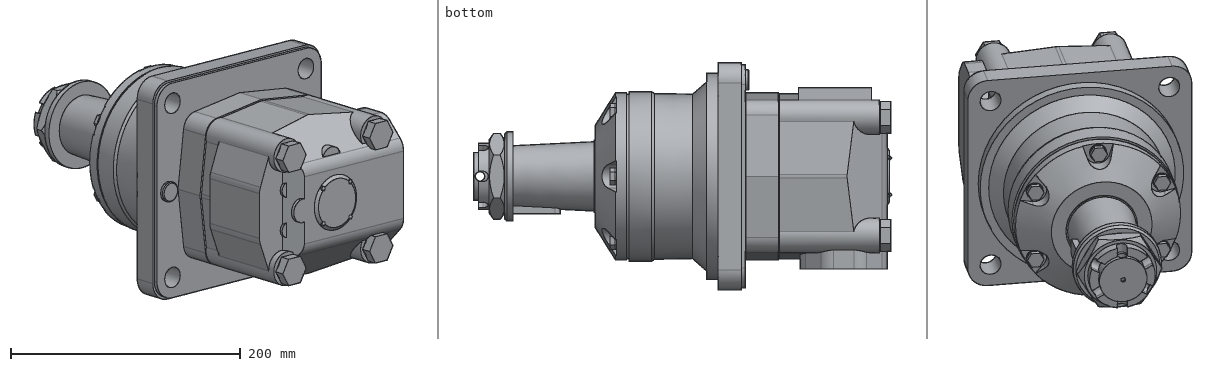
import cadquery as cq
import math


shaft_tip_x = -212.9
castle_tip_x = -208.6
hex_front_x = -199.3
washer_front_x = -185.8
washer_rear_x = -178.4
cover_front_x = -107.0
cover_rim_x = -89.2
cover_rear_x = -79.7
pilot_front_x = -9.9
flange_thickness = 20.2
gear_front_x = 24.3
gear_rear_x = 52.5
boss_end_x = 140.4
rear_face_x = 147.4

thread_radius = 21.0
taper_small_radius = 26.8
taper_large_radius = 30.3
center_hole_diameter = 4.0
center_hole_depth = 5.0
split_pin_diameter = 8.0
split_pin_x = -207.3
key_width = 16.0
key_top = 32.7
key_height = 10.0
key_end_x = -137.3
key_corner_radius = 4.6
washer_radius = 39.0
washer_chamfer = 2.0
nut_across_flats = 65.0
nut_bevel_inset = 0.5
nut_bevel_angle = math.radians(35)
castle_radius = 29.0
castle_slot_width = 9.0
castle_slot_end_x = -200.1
castle_slot_count = 6

cover_nose_radius = 44.5
cover_rim_radius = 73.0
lip_radius = 31.6
lip_front_x = cover_front_x - 0.9
screw_count = 6
screw_circle_radius = 64.7
screw_across_flats = 13.0
screw_head_height = 5.6
screw_collar_diameter = 14.8
screw_collar_height = 1.2
pocket_floor_x = -88.4
pocket_radius = 10.7
pocket_flare = math.radians(18)

housing_groove_radius = 71.8
band_radius = 74.0
band_front_x = -77.5
band_rear_x = -57.8
barrel_front_x = -55.4
barrel_rear_x = -22.2
barrel_front_radius = 72.3
barrel_rear_radius = 71.7
shoulder_radius = 82.5
pilot_radius = 90.0
flange_size = 198.0
flange_corner_radius = 17.5
flange_hole_diameter = 18.4
flange_hole_spacing = 158.0
back_plate_size = 194.6
back_plate_rear_x = 23.7
drain_plug_diameter = 18.0
drain_plug_height = 3.4
drain_plug_chamfer = 1.0
drain_plug_y = -84.0

lobe_center = 51.4
lobe_radius = 15.15
gear_ridge = 73.0
seal_radius = 65.0
cover_ridge = 72.1
cover_ridge_radius = 13.0
seal_thickness = 0.8
cover_block_x = gear_rear_x + seal_thickness
cover_side_half_width = 47.9
bolt_across_flats = 24.0
bolt_head_height = 9.2
bolt_collar_height = 0.9
bolt_collar_diameter = 22.0

port_block_half_width = 38.0
port_block_x = rear_face_x - port_block_half_width
port_block_half_height = 59.5
port_block_corner = 22.6
port_block_radius = 15.4
port_block_face_y = 80.7
bevel_half = port_block_half_height - port_block_corner
bevel_start_x = rear_face_x - (cover_ridge - bevel_half)
pad_front_x = 70.0
pad_rear_x = 133.8
pad_face_y = -77.4
pad_flat_half_height = 23.2
pad_half_height = 52.0
pad_edge_y = -66.5
pad_root_y = -46.0
pad_round = 16.0
plug_boss_radius = 10.7
plug_boss_offset = 38.6
top_plug_boss_end_x = 142.3
side_plug_boss_front_x = 144.3
valve_boss_diameter = 13.84
valve_boss_y = -46.0
valve_boss_z = 18.2
valve_boss_end_x = 136.3
cap_base_radius = 25.0
cap_top_radius = 22.0
cap_height = 2.0
rivet_offset = 16.0
rivet_radius = 2.0
rivet_tip_x = 151.4


def turned(points):
    """Solid of revolution about X from (x, radius) points."""
    return cq.Workplane("XY").polyline(points).close().revolve(360, (0, 0, 0), (1, 0, 0))


def plane_at(x):
    """Sketch plane facing +X whose local axes are Y and Z."""
    return cq.Workplane("YZ", origin=(x, 0, 0))


def rod(x_start, x_end, radius, y=0.0, z=0.0):
    return plane_at(x_start).center(y, z).circle(radius).extrude(x_end - x_start)


def four_corners(offset):
    return [(y, z) for y in (-offset, offset) for z in (-offset, offset)]


def make_shaft():
    shaft = turned([
        (shaft_tip_x, 0),
        (shaft_tip_x, thread_radius),
        (washer_rear_x, thread_radius),
        (washer_rear_x, taper_small_radius),
        (lip_front_x, taper_large_radius),
        (cover_rear_x, taper_large_radius),
        (cover_rear_x, 0),
    ])
    pin_hole = (
        cq.Workplane("XY", origin=(split_pin_x, 0, -thread_radius))
        .circle(split_pin_diameter / 2)
        .extrude(2 * thread_radius)
    )
    center_hole = rod(shaft_tip_x, shaft_tip_x + center_hole_depth, center_hole_diameter / 2)
    return shaft.cut(pin_hole).cut(center_hole).cut(make_key())


def make_key():
    length = key_end_x - washer_rear_x
    return (
        cq.Workplane("XY")
        .box(length, key_height, key_width, centered=(False, False, True))
        .translate((washer_rear_x, key_top - key_height, 0))
        .edges("|Y and >X")
        .fillet(key_corner_radius)
    )


def make_washer():
    return turned([
        (washer_front_x, thread_radius),
        (washer_front_x, washer_radius - washer_chamfer),
        (washer_front_x + washer_chamfer, washer_radius),
        (washer_rear_x, washer_radius),
        (washer_rear_x, thread_radius),
    ])


def make_nut():
    corner_radius = nut_across_flats / math.sqrt(3)
    face_radius = nut_across_flats / 2 - nut_bevel_inset
    bevel = (corner_radius - face_radius) * math.tan(nut_bevel_angle)
    length = washer_front_x - hex_front_x
    nut = plane_at(hex_front_x).polygon(6, 2 * corner_radius).extrude(length)
    nut = nut.intersect(turned([
        (hex_front_x, 0),
        (hex_front_x, face_radius),
        (hex_front_x + bevel, corner_radius),
        (washer_front_x - bevel, corner_radius),
        (washer_front_x, face_radius),
        (washer_front_x, 0),
    ]))
    nut = nut.union(rod(castle_tip_x, hex_front_x, castle_radius))
    nut = nut.cut(rod(castle_tip_x, washer_front_x, thread_radius))
    round_center_x = castle_slot_end_x - castle_slot_width / 2
    slot = (
        cq.Workplane("XY")
        .moveTo(castle_tip_x, -castle_slot_width / 2)
        .lineTo(round_center_x, -castle_slot_width / 2)
        .threePointArc((castle_slot_end_x, 0), (round_center_x, castle_slot_width / 2))
        .lineTo(castle_tip_x, castle_slot_width / 2)
        .close()
        .extrude(2 * castle_radius)
    )
    for i in range(castle_slot_count):
        nut = nut.cut(slot.rotate((0, 0, 0), (1, 0, 0), i * 360 / castle_slot_count))
    return nut


def screw_pocket():
    """Pocket above one screw: a round inner end that flares outwards to the cover rim."""
    reach = cover_rim_radius - screw_circle_radius + pocket_radius
    tangent_y = pocket_radius * math.cos(pocket_flare)
    tangent_z = -pocket_radius * math.sin(pocket_flare)
    mouth_y = tangent_y + (reach - tangent_z) * math.tan(pocket_flare)
    return (
        plane_at(cover_front_x)
        .center(0, screw_circle_radius)
        .moveTo(-mouth_y, reach)
        .lineTo(-tangent_y, tangent_z)
        .threePointArc((0, -pocket_radius), (tangent_y, tangent_z))
        .lineTo(mouth_y, reach)
        .close()
        .extrude(pocket_floor_x - cover_front_x)
    )


def screw_head():
    """Hexagon head standing on the pocket floor, with a thin round collar under it."""
    head = (
        plane_at(pocket_floor_x - screw_head_height)
        .center(0, screw_circle_radius)
        .polygon(6, screw_across_flats / math.cos(math.pi / 6))
        .extrude(screw_head_height)
    )
    collar_front_x = pocket_floor_x - screw_collar_height
    return head.union(
        rod(collar_front_x, pocket_floor_x, screw_collar_diameter / 2, 0, screw_circle_radius)
    )


def make_front_cover():
    cover = turned([
        (lip_front_x, taper_large_radius),
        (lip_front_x, lip_radius),
        (cover_front_x, lip_radius),
        (cover_front_x, cover_nose_radius),
        (cover_rim_x, cover_rim_radius),
        (cover_rear_x, cover_rim_radius),
        (cover_rear_x, taper_large_radius),
    ])
    pocket = screw_pocket()
    head = screw_head()
    for i in range(screw_count):
        angle = i * 360 / screw_count
        cover = cover.cut(pocket.rotate((0, 0, 0), (1, 0, 0), angle))
        cover = cover.union(head.rotate((0, 0, 0), (1, 0, 0), angle))
    return cover


def make_housing():
    housing = turned([
        (cover_rear_x, 0),
        (cover_rear_x, housing_groove_radius),
        (band_front_x, housing_groove_radius),
        (band_front_x, band_radius),
        (band_rear_x, band_radius),
        (barrel_front_x, barrel_front_radius),
        (barrel_rear_x, barrel_rear_radius),
        (pilot_front_x, shoulder_radius),
        (pilot_front_x, pilot_radius),
        (0, pilot_radius),
        (0, 0),
    ])
    flange = (
        plane_at(0)
        .rect(flange_size, flange_size)
        .extrude(flange_thickness)
        .edges("|X")
        .fillet(flange_corner_radius)
    )
    back_plate = (
        plane_at(flange_thickness)
        .rect(back_plate_size, back_plate_size)
        .extrude(back_plate_rear_x - flange_thickness)
        .edges("|X")
        .fillet(flange_corner_radius)
    )
    holes = (
        plane_at(0)
        .pushPoints(four_corners(flange_hole_spacing / 2))
        .circle(flange_hole_diameter / 2)
        .extrude(gear_front_x)
    )
    plug = (
        rod(back_plate_rear_x, back_plate_rear_x + drain_plug_height, drain_plug_diameter / 2, drain_plug_y)
        .faces(">X")
        .chamfer(drain_plug_chamfer)
    )
    seal_land = rod(back_plate_rear_x, gear_front_x, seal_radius)
    return housing.union(flange).union(back_plate).cut(holes).union(plug).union(seal_land)


def quarter_turns(points):
    """The given (y, z) points repeated four times around X, clockwise."""
    turned_points = []
    for _ in range(4):
        turned_points += points
        points = [(z, -y) for y, z in points]
    return turned_points


def make_gear_set():
    """Plate whose four shallow-roofed sides run tangent into the corner lobes."""
    rise = gear_ridge - lobe_center
    slope = math.acos(lobe_radius / math.hypot(rise, lobe_center)) - math.atan2(lobe_center, rise)
    near = (lobe_center + lobe_radius * math.sin(slope), lobe_center + lobe_radius * math.cos(slope))
    outline = quarter_turns([(0, gear_ridge), near, near[::-1]])
    body = plane_at(gear_front_x).polyline(outline).close().extrude(gear_rear_x - gear_front_x)
    for y, z in four_corners(lobe_center):
        body = body.union(rod(gear_front_x, gear_rear_x, lobe_radius, y, z))
    return body


def cover_block():
    """Roof-sided block, bevelled at 45 degrees towards the rear on all four sides."""
    lobe_rise = math.sqrt(lobe_radius**2 - (lobe_center - cover_side_half_width) ** 2)
    side_edge = (cover_side_half_width, lobe_center + lobe_rise)
    outline = quarter_turns([(0, cover_ridge), side_edge, side_edge[::-1]])
    block = plane_at(cover_block_x).polyline(outline).close().extrude(rear_face_x - cover_block_x)
    for direction in (">Z", "<Z", ">Y", "<Y"):
        block = block.edges("|X").edges(direction).fillet(cover_ridge_radius)
    side_profile = [
        (cover_block_x, -cover_ridge),
        (bevel_start_x, -cover_ridge),
        (rear_face_x, -bevel_half),
        (rear_face_x, bevel_half),
        (bevel_start_x, cover_ridge),
        (cover_block_x, cover_ridge),
    ]
    envelope_y = cq.Workplane("XY").polyline(side_profile).close().extrude(2 * cover_ridge, both=True)
    envelope_z = (
        cq.Workplane("XZ")
        .polyline(side_profile)
        .close()
        .extrude(2 * cover_ridge, both=True)
        .edges("|Y and >X")
        .fillet(port_block_radius)
    )
    return block.intersect(envelope_y).intersect(envelope_z)


def port_block():
    """Rounded eight-sided block along Y that carries the ports at +Y."""
    half_x = port_block_half_width
    half_z = port_block_half_height
    cut = port_block_corner
    return (
        cq.Workplane("XZ", origin=(port_block_x, 0, 0))
        .polyline([
            (half_x, half_z - cut),
            (half_x - cut, half_z),
            (cut - half_x, half_z),
            (-half_x, half_z - cut),
            (-half_x, cut - half_z),
            (cut - half_x, -half_z),
            (half_x - cut, -half_z),
            (half_x, cut - half_z),
        ])
        .close()
        .extrude(-port_block_face_y)
        .edges("|Y")
        .fillet(port_block_radius)
    )


def port_pad():
    """Raised pad on the -Y side: a flat face that slopes away above and below."""
    return (
        plane_at(pad_front_x)
        .polyline([
            (pad_root_y, -pad_half_height),
            (pad_edge_y, -pad_half_height),
            (pad_face_y, -pad_flat_half_height),
            (pad_face_y, pad_flat_half_height),
            (pad_edge_y, pad_half_height),
            (pad_root_y, pad_half_height),
        ])
        .close()
        .extrude(pad_rear_x - pad_front_x)
        .edges("|X and <Y")
        .fillet(pad_round)
    )


def tie_bolt_head(y, z):
    collar_end_x = boss_end_x + bolt_collar_height
    head = (
        plane_at(collar_end_x)
        .center(y, z)
        .polygon(6, bolt_across_flats / math.cos(math.pi / 6))
        .extrude(bolt_head_height)
    )
    return head.union(rod(boss_end_x, collar_end_x, bolt_collar_diameter / 2, y, z))


def make_rear_cover():
    cover = cover_block().union(port_block()).union(port_pad())
    cover = cover.union(rod(gear_rear_x, cover_block_x, seal_radius))
    cover = cover.union(rod(side_plug_boss_front_x, rear_face_x, plug_boss_radius, -plug_boss_offset, 0))
    cover = cover.union(rod(bevel_start_x, top_plug_boss_end_x, plug_boss_radius, 0, plug_boss_offset))
    for z in (-valve_boss_z, valve_boss_z):
        cover = cover.union(rod(bevel_start_x, valve_boss_end_x, valve_boss_diameter / 2, valve_boss_y, z))
    cover = cover.union(turned([
        (rear_face_x, 0),
        (rear_face_x, cap_base_radius),
        (rear_face_x + cap_height, cap_top_radius),
        (rear_face_x + cap_height, 0),
    ]))
    rivet = turned([
        (rear_face_x, 0),
        (rear_face_x, rivet_radius),
        (rear_face_x + cap_height, rivet_radius),
        (rivet_tip_x, 0),
    ])
    for y, z in four_corners(rivet_offset):
        cover = cover.union(rivet.translate((0, y, z)))
    for y, z in four_corners(lobe_center):
        cover = cover.union(rod(cover_block_x, boss_end_x, lobe_radius, y, z))
        cover = cover.union(tie_bolt_head(y, z))
    return cover


bodies = [
    make_shaft(),
    make_key(),
    make_washer(),
    make_nut(),
    make_front_cover(),
    make_housing(),
    make_gear_set(),
    make_rear_cover(),
]
result = cq.Compound.makeCompound([body.val() for body in bodies])